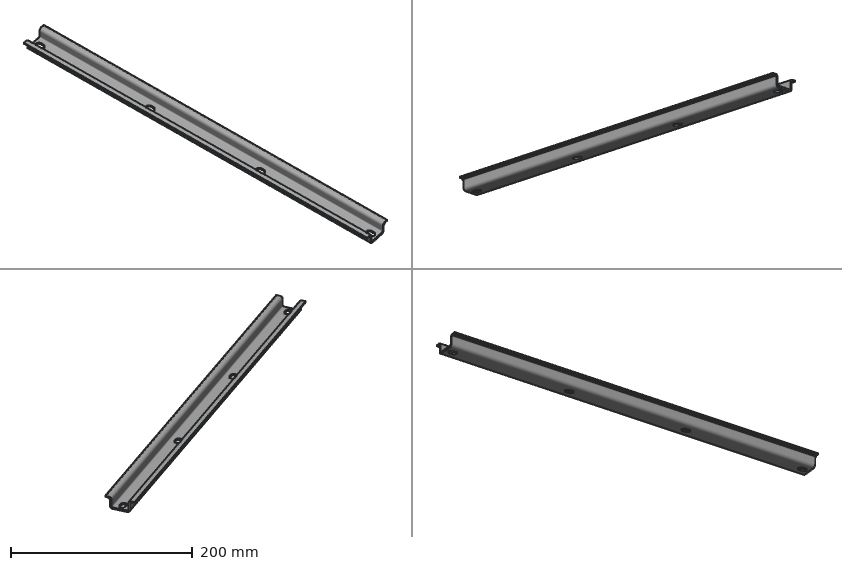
import cadquery as cq

length = 482.5
width = 35.0
height = 15.0
channel_width = 24.0
sheet = 2.3
lip = 1.5
lip_width = 3.0
inner_bend = 1.5
outer_bend = inner_bend + sheet

slot_count = 4
slot_pitch = 155.0
slot_length = 10.5
slot_width = 6.8

half_width = width / 2
outer_wall = channel_width / 2
inner_wall = outer_wall - sheet
taper_y = half_width - lip_width


def make_hat_section():
    """Extrude the hat profile along X, floor at the bottom and open upwards."""
    half = (
        cq.Workplane("YZ", origin=(-length / 2, 0, 0))
        .moveTo(0, 0)
        .lineTo(outer_wall - outer_bend, 0)
        .radiusArc((outer_wall, outer_bend), -outer_bend)
        .lineTo(outer_wall, height - sheet - inner_bend)
        .radiusArc((outer_wall + inner_bend, height - sheet), inner_bend)
        .lineTo(taper_y, height - lip)
        .lineTo(half_width, height - lip)
        .lineTo(half_width, height)
        .lineTo(inner_wall + outer_bend, height)
        .radiusArc((inner_wall, height - outer_bend), -outer_bend)
        .lineTo(inner_wall, sheet + inner_bend)
        .radiusArc((inner_wall - inner_bend, sheet), inner_bend)
        .lineTo(0, sheet)
        .close()
        .extrude(length)
    )
    return half.union(half.mirror("XZ"), clean=True)


def make_slots():
    """Row of through slots along the middle of the floor."""
    return (
        cq.Workplane("XY")
        .rarray(slot_pitch, 5, slot_count, 1)
        .slot2D(slot_length, slot_width)
        .extrude(sheet)
    )


result = make_hat_section().cut(make_slots())